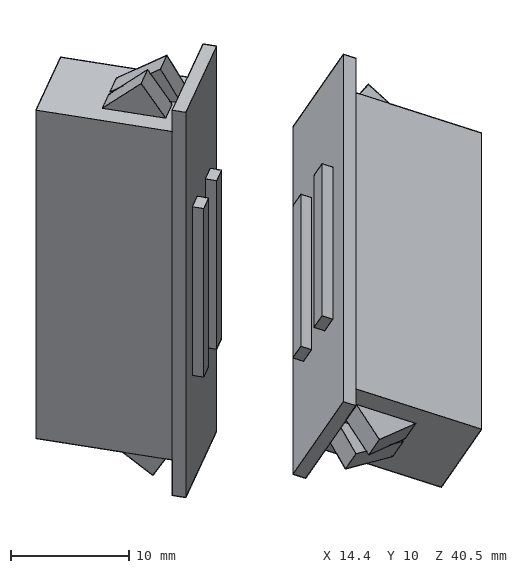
import cadquery as cq

body_depth = 12.2
body_width = 8.0
body_height = 34.1

flange_thickness = 1.2
flange_width = 10.0
flange_height = 40.0

rail_projection = 1.0
rail_width = 1.6
rail_height = 17.5
rail_offset = 2.1

latch_width = 2.1
latch_gap = 0.35
latch_start_x = 5.35
latch_tip_z = 20.25
narrow_peak_x = 8.75
narrow_end_x = 10.9
wide_peak_x = 9.78
wide_end_x = 11.6


def block(x_start, depth, width, height, y_center=0):
    """Box starting at x_start, centred on y_center and on Z = 0."""
    return (
        cq.Workplane("XY")
        .box(depth, width, height, centered=(False, True, True))
        .translate((x_start, y_center, 0))
    )


def latch(peak_x, end_x, y_center):
    """Triangular wedge standing on the top face of the body."""
    base_z = body_height / 2
    return (
        cq.Workplane("XZ", origin=(0, y_center, 0))
        .moveTo(latch_start_x, base_z)
        .lineTo(peak_x, latch_tip_z)
        .lineTo(end_x, base_z)
        .close()
        .extrude(latch_width / 2, both=True)
    )


def latch_pair():
    """Narrow latch on the -Y side and wide latch on the +Y side."""
    y_offset = (latch_gap + latch_width) / 2
    narrow = latch(narrow_peak_x, narrow_end_x, -y_offset)
    wide = latch(wide_peak_x, wide_end_x, y_offset)
    return narrow, wide


result = block(0, body_depth, body_width, body_height)
result = result.union(block(body_depth, flange_thickness, flange_width, flange_height))

rail_start_x = body_depth + flange_thickness
for side in (-1, 1):
    rail = block(rail_start_x, rail_projection, rail_width, rail_height, side * rail_offset)
    result = result.union(rail)

for wedge in latch_pair():
    result = result.union(wedge)
    result = result.union(wedge.rotate((0, 0, 0), (1, 0, 0), 180))